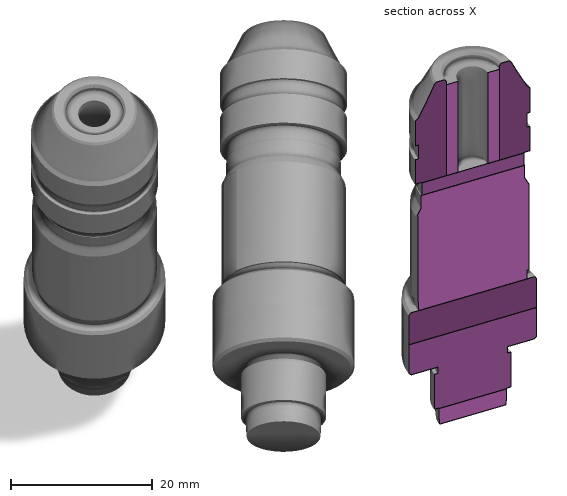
import cadquery as cq
import math

CARRIER_TAPER_TOP = 1.1
THREAD_BOTTOM = 2.95
THREAD_TOP = 9.35
COLLAR_BOTTOM = 10.4
COLLAR_SPLIT = 16.05
COLLAR_TOP = 2 * COLLAR_SPLIT - COLLAR_BOTTOM
GRIP_BOTTOM = 23.15
GRIP_TOP = 38.65
SHOULDER_TOP = 40.1
HOUSING_TOP = 42.35
CAP_BOTTOM = 44.6
CAP_GROOVE_BOTTOM = 49.1
CAP_GROOVE_TOP = 51.5
CAP_CONE_BOTTOM = 56.5
TOTAL_HEIGHT = 62.0

CARRIER_RADIUS = 5.3
CARRIER_TIP_RADIUS = 5.2
THREAD_RADIUS = 6.0
THREAD_RELIEF_RADIUS = 5.5
COLLAR_RADIUS = 10.0
HOUSING_FOOT_RADIUS = 8.5
GRIP_RADIUS = 8.8
HOUSING_RIM_RADIUS = 8.1
SLEEVE_RADIUS = 8.0
CAP_RADIUS = 9.0
CAP_GROOVE_RADIUS = 8.5
CAP_NOSE_RADIUS = 6.0
CAP_BORE_RADIUS = 4.1
CABLE_HOLE_RADIUS = 2.3

COLLAR_CHAMFER = 0.4
CAP_CHAMFER = 0.5
CAP_NOSE_CHAMFER = 0.3
CAP_MOUTH_CHAMFER_WIDTH = 0.3
CAP_MOUTH_CHAMFER_DEPTH = 0.4
SEAL_RECESS = 1.0
GRIP_FLAT_WIDTH = 3.6


def revolve_profile(points):
    """Turn a closed (radius, height) outline around the Z axis."""
    return cq.Workplane("XZ").polyline(points).close().revolve(360, (0, 0, 0), (0, 1, 0))


def cylinder(radius, bottom, top):
    return cq.Workplane("XY").workplane(offset=bottom).circle(radius).extrude(top - bottom)


def make_contact_carrier():
    """Insulating tip below the thread, slightly tapered at its end."""
    return revolve_profile([
        (0, 0),
        (CARRIER_TIP_RADIUS, 0),
        (CARRIER_RADIUS, CARRIER_TAPER_TOP),
        (CARRIER_RADIUS, THREAD_BOTTOM),
        (0, THREAD_BOTTOM),
    ])


def make_threaded_ring():
    """Lower half of the collar together with the threaded stub and its relief."""
    stub = cylinder(THREAD_RADIUS, THREAD_BOTTOM, THREAD_TOP)
    relief = cylinder(THREAD_RELIEF_RADIUS, THREAD_TOP, COLLAR_BOTTOM)
    collar = cylinder(COLLAR_RADIUS, COLLAR_BOTTOM, COLLAR_SPLIT).faces("<Z").chamfer(COLLAR_CHAMFER)
    return collar.union(relief).union(stub)


def make_upper_collar():
    return cylinder(COLLAR_RADIUS, COLLAR_SPLIT, COLLAR_TOP).faces(">Z").chamfer(COLLAR_CHAMFER)


def make_housing():
    """Grip barrel with a narrower foot, a conical shoulder and one flat on the -Y side."""
    barrel = revolve_profile([
        (0, COLLAR_TOP),
        (HOUSING_FOOT_RADIUS, COLLAR_TOP),
        (HOUSING_FOOT_RADIUS, GRIP_BOTTOM),
        (GRIP_RADIUS, GRIP_BOTTOM),
        (GRIP_RADIUS, GRIP_TOP),
        (HOUSING_RIM_RADIUS, SHOULDER_TOP),
        (HOUSING_RIM_RADIUS, HOUSING_TOP),
        (0, HOUSING_TOP),
    ])
    flat_distance = math.sqrt(GRIP_RADIUS**2 - (GRIP_FLAT_WIDTH / 2) ** 2)
    flat_cutter = (
        cq.Workplane("XY")
        .workplane(offset=GRIP_BOTTOM)
        .center(0, -GRIP_RADIUS)
        .rect(2 * GRIP_RADIUS, 2 * (GRIP_RADIUS - flat_distance))
        .extrude(GRIP_TOP - GRIP_BOTTOM)
    )
    return barrel.cut(flat_cutter)


def make_neck_sleeve():
    return cylinder(SLEEVE_RADIUS, HOUSING_TOP, CAP_BOTTOM)


def make_cap():
    """Grooved clamping cap with a conical nose and a chamfered bore mouth."""
    return revolve_profile([
        (CAP_BORE_RADIUS, CAP_BOTTOM),
        (CAP_RADIUS, CAP_BOTTOM),
        (CAP_RADIUS, CAP_GROOVE_BOTTOM),
        (CAP_GROOVE_RADIUS, CAP_GROOVE_BOTTOM),
        (CAP_GROOVE_RADIUS, CAP_GROOVE_TOP),
        (CAP_RADIUS, CAP_GROOVE_TOP),
        (CAP_RADIUS, CAP_CONE_BOTTOM - CAP_CHAMFER),
        (CAP_RADIUS - CAP_CHAMFER, CAP_CONE_BOTTOM),
        (CAP_NOSE_RADIUS, TOTAL_HEIGHT - CAP_NOSE_CHAMFER),
        (CAP_NOSE_RADIUS - CAP_NOSE_CHAMFER, TOTAL_HEIGHT),
        (CAP_BORE_RADIUS + CAP_MOUTH_CHAMFER_WIDTH, TOTAL_HEIGHT),
        (CAP_BORE_RADIUS, TOTAL_HEIGHT - CAP_MOUTH_CHAMFER_DEPTH),
    ])


def make_cable_seal():
    """Tubular seal filling the cap bore, its top set below the cap mouth."""
    plug = cylinder(CAP_BORE_RADIUS, CAP_BOTTOM, TOTAL_HEIGHT - SEAL_RECESS)
    return plug.faces(">Z").workplane().circle(CABLE_HOLE_RADIUS).cutThruAll()


contact_carrier = make_contact_carrier()
threaded_ring = make_threaded_ring()
upper_collar = make_upper_collar()
housing = make_housing()
neck_sleeve = make_neck_sleeve()
cap = make_cap()
cable_seal = make_cable_seal()

result = cq.Compound.makeCompound([
    contact_carrier.val(),
    threaded_ring.val(),
    upper_collar.val(),
    housing.val(),
    neck_sleeve.val(),
    cap.val(),
    cable_seal.val(),
])